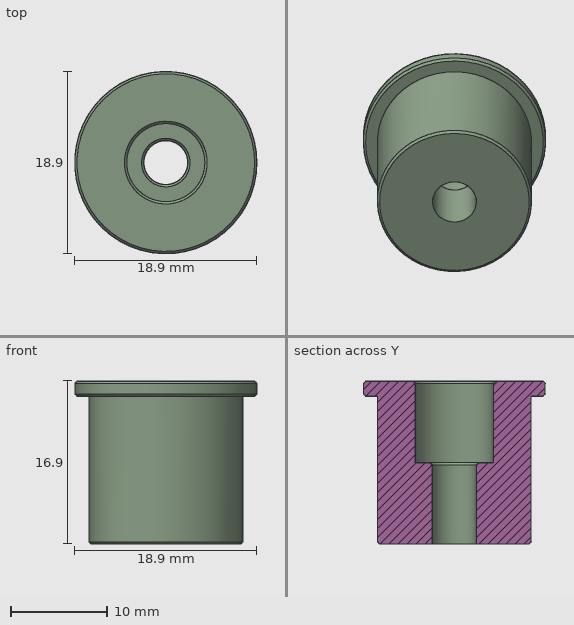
import cadquery as cq

flange_diameter = 18.92
body_diameter = 16.0
total_height = 16.93
flange_thickness = 1.59
edge_chamfer = 0.25

bore_diameter = 8.1
bore_depth = total_height / 2
hole_diameter = 4.55

body_height = total_height - flange_thickness
bore_floor = total_height - bore_depth


def chamfered_cylinder(diameter, height, base, chamfered_edges):
    """Upright cylinder starting at height base, with the selected rims chamfered."""
    cylinder = cq.Workplane("XY").workplane(offset=base).circle(diameter / 2).extrude(height)
    return cylinder.edges(chamfered_edges).chamfer(edge_chamfer)


def chamfered_bore(diameter, bottom, top):
    """Cutting tool for a bore whose upper rim is flared by the edge chamfer."""
    radius = diameter / 2
    profile = (
        cq.Workplane("XZ")
        .moveTo(0, bottom)
        .lineTo(radius, bottom)
        .lineTo(radius, top - edge_chamfer)
        .lineTo(radius + edge_chamfer, top)
        .lineTo(0, top)
        .close()
    )
    return profile.revolve(360, (0, 0, 0), (0, 1, 0))


body = chamfered_cylinder(body_diameter, body_height, 0, "<Z")
flange = chamfered_cylinder(flange_diameter, flange_thickness, body_height, "%CIRCLE")

wide_bore = chamfered_bore(bore_diameter, bore_floor, total_height)
narrow_hole = chamfered_bore(hole_diameter, 0, bore_floor)

result = body.union(flange).cut(wide_bore).cut(narrow_hole)